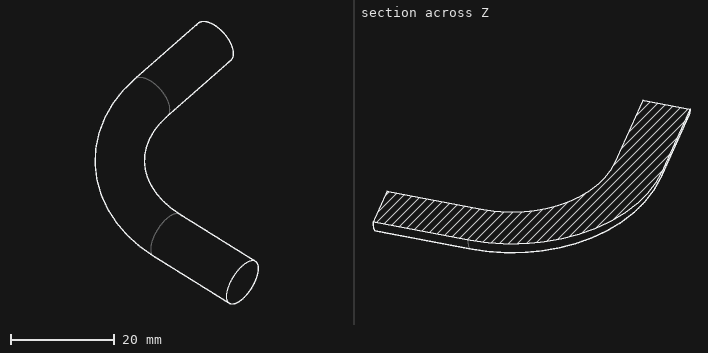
import cadquery as cq
import math

overall_length = 49.2
bar_diameter = 9.55
leg_length = 19.05

bar_radius = bar_diameter / 2
bend_radius = overall_length - leg_length - bar_radius

bend_middle = -bend_radius * math.sqrt(0.5)

centreline = (
    cq.Workplane("XY")
    .moveTo(-bend_radius, leg_length)
    .lineTo(-bend_radius, 0)
    .threePointArc((bend_middle, bend_middle), (0, -bend_radius))
    .lineTo(leg_length, -bend_radius)
)

result = (
    cq.Workplane("XZ", origin=(-bend_radius, leg_length, 0))
    .circle(bar_radius)
    .sweep(centreline)
)